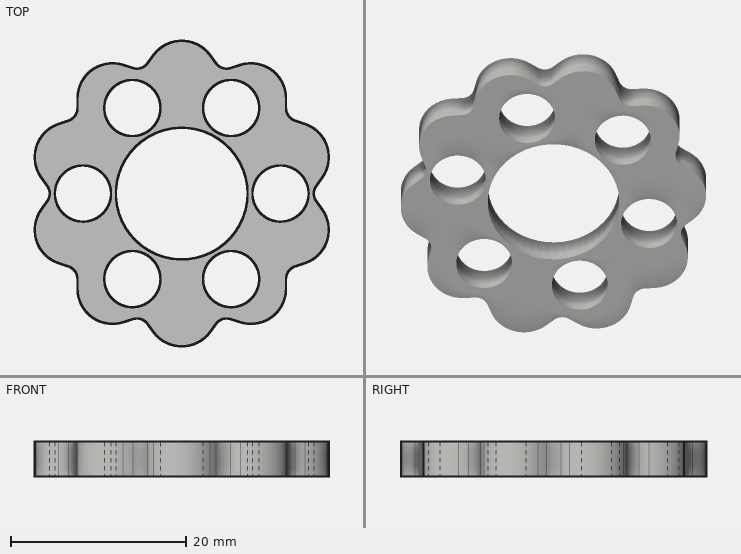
import cadquery as cq
import math

outer_radius = 17.45
thickness = 4.0
lobe_count = 10

lobe_radius = 4.0
valley_radius = 1.45
valley_floor = 15.08

bore_diameter = 15.0
hole_diameter = 6.4
hole_count = 6
hole_circle_radius = 11.27

lobe_pitch = 2 * math.pi / lobe_count
first_lobe_angle = math.pi / 2
lobe_center = outer_radius - lobe_radius
valley_center = valley_floor + valley_radius


def polar(radius, angle):
    return (radius * math.cos(angle), radius * math.sin(angle))


def flank_ends():
    """Polar tangent points (radius, angle from the lobe axis) on the lobe and on the valley."""
    valley_x, valley_y = polar(valley_center, lobe_pitch / 2)
    gap_x = valley_x - lobe_center
    center_distance = math.hypot(gap_x, valley_y)
    normal = math.atan2(valley_y, gap_x) - math.acos((lobe_radius + valley_radius) / center_distance)
    offset_x, offset_y = polar(lobe_radius, normal)
    lobe_end = (lobe_center + offset_x, offset_y)
    offset_x, offset_y = polar(valley_radius, normal)
    valley_end = (valley_x - offset_x, valley_y - offset_y)
    return [(math.hypot(x, y), math.atan2(y, x)) for x, y in (lobe_end, valley_end)]


def lobed_disc():
    (lobe_r, lobe_angle), (valley_r, valley_angle) = flank_ends()
    outline = cq.Workplane("XY").moveTo(*polar(lobe_r, first_lobe_angle - lobe_angle))
    for index in range(lobe_count):
        axis = first_lobe_angle + index * lobe_pitch
        next_axis = axis + lobe_pitch
        outline = (
            outline.threePointArc(polar(outer_radius, axis), polar(lobe_r, axis + lobe_angle))
            .lineTo(*polar(valley_r, axis + valley_angle))
            .threePointArc(
                polar(valley_floor, axis + lobe_pitch / 2),
                polar(valley_r, next_axis - valley_angle),
            )
        )
        if index < lobe_count - 1:
            outline = outline.lineTo(*polar(lobe_r, next_axis - lobe_angle))
    return outline.close().extrude(thickness)


def through_holes():
    bore = cq.Workplane("XY").circle(bore_diameter / 2).extrude(thickness)
    ring = (
        cq.Workplane("XY")
        .polarArray(hole_circle_radius, 0, 360, hole_count)
        .circle(hole_diameter / 2)
        .extrude(thickness)
    )
    return bore.union(ring)


result = lobed_disc().cut(through_holes())